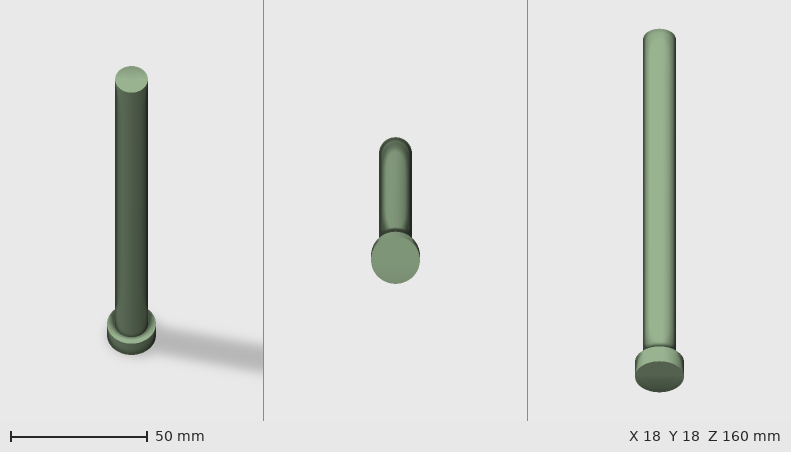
import cadquery as cq

total_length = 160.0
head_diameter = 18.0
head_height = 7.0
shank_diameter = 12.0

head = cq.Workplane("XY").circle(head_diameter / 2).extrude(head_height)
shank = cq.Workplane("XY").circle(shank_diameter / 2).extrude(total_length)

result = head.union(shank)